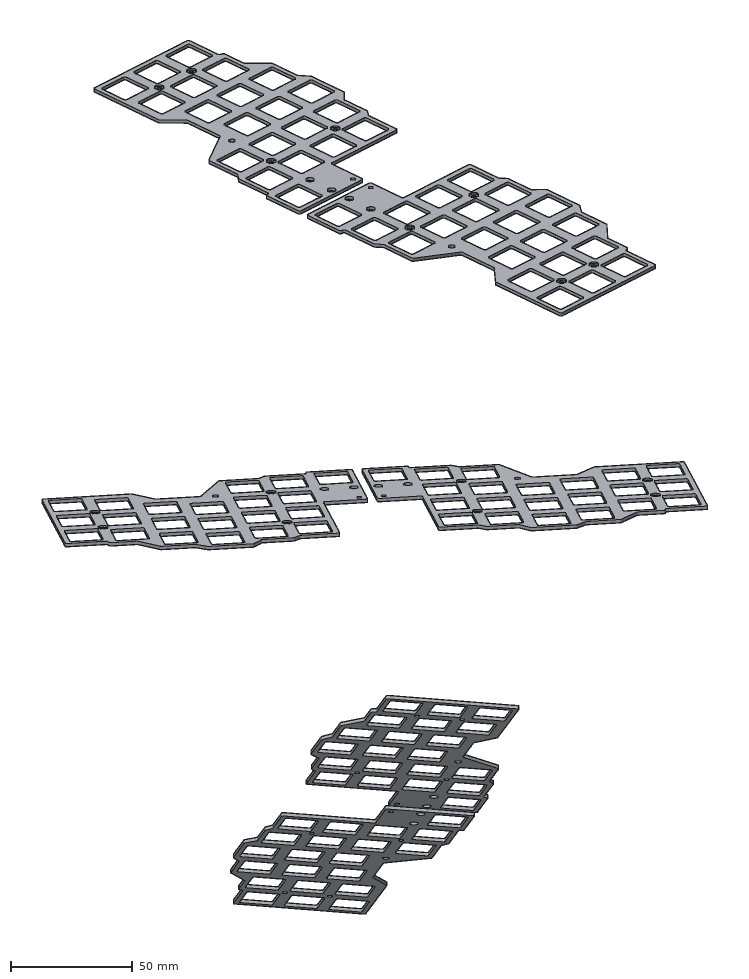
import cadquery as cq

total_length = 269.3
half_gap = 2.02
thickness = 1.5
outline_radius = 0.75

key_counts = [3, 3, 3, 3, 4, 4, 1]
top_key_y = [19.5, 21.5, 29.5, 33.0, 28.5, 26.0, -32.9]
column_span = 114.0
cutout_size = 14.0
cutout_radius = 0.75
end_margin = 9.2

upper_ramps = [(-117.1, -116.3), (-104.8, -96.5), (-82.0, -77.3), (-58.2, -53.9), (-40.5, -37.5)]
arch_outer_ramp = (-97.0, -88.3)
arch_inner_ramp = (-69.5, -58.7)
finger_step_ramp = (-42.0, -39.0)

shoulder_x = -20.7
shoulder_y = -4.3
thumb_step_x = -21.5
arch_y = -19.7

screw_bore = 2.0
head_bore = 4.0
head_depth = thickness / 2
outer_screw_y = [11.0, -8.0]
inner_screw_y = [18.0, -20.0]

peg_bore = 3.5
pin_bore = 2.0
arch_bore = 2.6
thumb_hole_x = -5.0
peg_spacing = 12.5
peg_y = -20.0
pin_y = -7.3
arch_hole = (-63.3, -19.0)

column_total = len(key_counts)
pitch = column_span / (column_total - 1)
outer_x = -total_length / 2
inner_x = -half_gap
side_margin = (inner_x - outer_x - column_span) / 2
column_x = [outer_x + side_margin + pitch * i for i in range(column_total)]
bottom_key_y = [y - pitch * (count - 1) for y, count in zip(top_key_y, key_counts)]
upper_edge_y = [y + end_margin for y in top_key_y]
lower_edge_y = [y - end_margin for y in bottom_key_y]

outer_screw_x = (column_x[0] + column_x[1]) / 2
inner_screw_x = (column_x[4] + column_x[5]) / 2
screw_points = [(outer_screw_x, y) for y in outer_screw_y]
screw_points += [(inner_screw_x, y) for y in inner_screw_y]
peg_points = [(thumb_hole_x - peg_spacing, peg_y), (thumb_hole_x, peg_y)]


def upper_edge():
    """Corners from the outer side to the thumb area, following the column stagger."""
    points = [(outer_x, upper_edge_y[0])]
    for i, (ramp_start, ramp_end) in enumerate(upper_ramps):
        points += [(ramp_start, upper_edge_y[i]), (ramp_end, upper_edge_y[i + 1])]
    points += [(shoulder_x, upper_edge_y[-2]), (shoulder_x, shoulder_y), (inner_x, shoulder_y)]
    return points


def lower_edge():
    """Corners from the outer side to the thumb key, over the arch."""
    thumb_y, inner_column_y, next_column_y = lower_edge_y[-1], lower_edge_y[-2], lower_edge_y[-3]
    return [
        (outer_x, lower_edge_y[0]),
        (arch_outer_ramp[0], lower_edge_y[0]),
        (arch_outer_ramp[1], arch_y),
        (arch_inner_ramp[0], arch_y),
        (arch_inner_ramp[1], next_column_y),
        (finger_step_ramp[0], next_column_y),
        (finger_step_ramp[1], inner_column_y),
        (thumb_step_x, inner_column_y),
        (thumb_step_x, thumb_y),
        (inner_x, thumb_y),
    ]


def make_blank():
    outline = upper_edge() + lower_edge()[::-1]
    blank = cq.Workplane("XY").polyline(outline).close().extrude(thickness)
    return blank.edges("|Z").fillet(outline_radius)


def key_cutouts():
    centres = [
        (x, y - pitch * row)
        for x, y, count in zip(column_x, top_key_y, key_counts)
        for row in range(count)
    ]
    blocks = cq.Workplane("XY").pushPoints(centres).rect(cutout_size, cutout_size).extrude(thickness)
    return blocks.edges("|Z").fillet(cutout_radius)


def drills(points, diameter, depth=thickness):
    """Cylinders reaching down from the top face."""
    start = cq.Workplane("XY").workplane(offset=thickness - depth)
    return start.pushPoints(points).circle(diameter / 2).extrude(depth)


def make_left_plate():
    plate = make_blank().cut(key_cutouts())
    plate = plate.cut(drills(screw_points, screw_bore))
    plate = plate.cut(drills(screw_points, head_bore, head_depth))
    plate = plate.cut(drills(peg_points, peg_bore))
    plate = plate.cut(drills([(thumb_hole_x, pin_y)], pin_bore))
    plate = plate.cut(drills([arch_hole], arch_bore))
    return plate


left_plate = make_left_plate()
right_plate = left_plate.mirror("YZ")

result = cq.Compound.makeCompound([left_plate.solids().val(), right_plate.solids().val()])